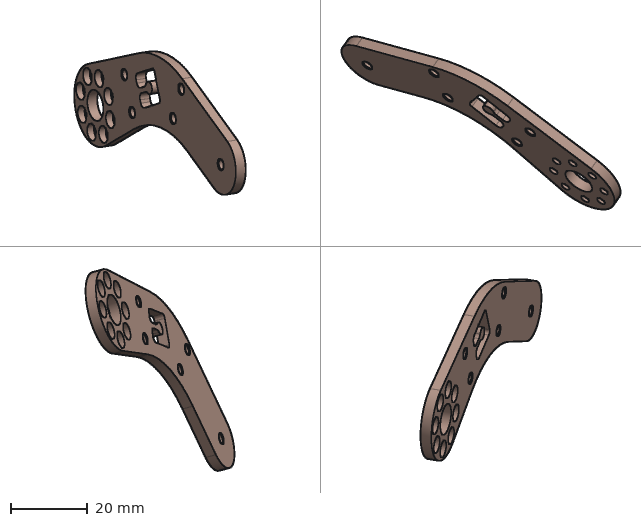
import cadquery as cq
import math

thickness = 3.0
hub_radius = 11.0
tip_radius = 8.0
tip_x = 65.0

upper_hub_slope = 19.7
upper_tip_slope = -25.5
lower_hub_slope = 29.0
lower_tip_slope = -25.5
upper_bend_radius = 30.0
lower_bend_radius = 30.0

bore_diameter = 8.2
bolt_count = 8
bolt_circle_radius = 8.0
bolt_start_angle = -14.0
bolt_diameter = 2.35
counterbore_diameter = 4.5
counterbore_depth = 2.0

mount_points = [(14.95, 12.0), (19.0, 2.8), (40.2, 6.4), (44.5, 15.4), (tip_x, 0)]
mount_diameter = 2.6
mount_chamfer = 0.25

window_x = 27.8
window_z = 11.6
window_angle = 22.5
window_left = 5.9
window_right = 4.6
window_height = 9.2
slot_end_radius = 1.5
window_corner_radius = 1.0
tongue_width = 1.4
tongue_head_radius = 1.7
tongue_neck_radius = 1.7


def edge_normal(slope, side):
    """Unit normal of an edge; side is +1 for upper edges and -1 for lower ones."""
    angle = math.radians(slope)
    return -side * math.sin(angle), side * math.cos(angle)


def along(origin, direction, distance):
    return origin[0] + direction[0] * distance, origin[1] + direction[1] * distance


def edge_points(hub_slope, tip_slope, bend_radius, side):
    """Points of one long edge from hub to tip; the second to fourth lie on the bend."""
    hub_normal = edge_normal(hub_slope, side)
    tip_normal = edge_normal(tip_slope, side)
    hub_tangent = along((0, 0), hub_normal, hub_radius)
    tip_tangent = along((tip_x, 0), tip_normal, tip_radius)

    offset = side * bend_radius
    hub_distance = hub_radius - offset
    tip_distance = tip_x * tip_normal[0] + tip_radius - offset
    determinant = hub_normal[0] * tip_normal[1] - hub_normal[1] * tip_normal[0]
    centre = (
        (hub_distance * tip_normal[1] - tip_distance * hub_normal[1]) / determinant,
        (tip_distance * hub_normal[0] - hub_distance * tip_normal[0]) / determinant,
    )
    middle_normal = edge_normal((hub_slope + tip_slope) / 2, side)
    bend = [along(centre, normal, offset) for normal in (hub_normal, middle_normal, tip_normal)]
    return [hub_tangent, *bend, tip_tangent]


def make_plate():
    upper = edge_points(upper_hub_slope, upper_tip_slope, upper_bend_radius, 1)
    lower = edge_points(lower_hub_slope, lower_tip_slope, lower_bend_radius, -1)
    return (
        cq.Workplane("XZ")
        .moveTo(*upper[0])
        .lineTo(*upper[1])
        .threePointArc(upper[2], upper[3])
        .lineTo(*upper[4])
        .threePointArc((tip_x + tip_radius, 0), lower[4])
        .lineTo(*lower[3])
        .threePointArc(lower[2], lower[1])
        .lineTo(*lower[0])
        .threePointArc((-hub_radius, 0), upper[0])
        .close()
        .extrude(-thickness)
    )


def cylinders(points, diameter, depth):
    """Cylinders sunk from the front face."""
    return cq.Workplane("XZ").pushPoints(points).circle(diameter / 2).extrude(-depth)


def mount_hole_cutter():
    """Through holes with both rims chamfered."""
    cutter = cylinders(mount_points, mount_diameter, thickness)
    for face_y, direction in ((0, -1), (thickness, 1)):
        cutter = cutter.union(
            cq.Workplane("XZ", origin=(0, face_y, 0))
            .pushPoints(mount_points)
            .circle(mount_diameter / 2 + mount_chamfer)
            .extrude(direction * mount_chamfer, taper=45)
        )
    return cutter


def window_cutter():
    length = window_left + window_right
    frame = (
        cq.Workplane("XY")
        .center((window_right - window_left) / 2, 0)
        .rect(length, window_height)
        .extrude(thickness)
    )
    neck = cq.Workplane("XY").center(-window_left / 2, 0).rect(window_left, tongue_width).extrude(thickness)
    head = cq.Workplane("XY").circle(tongue_head_radius).extrude(thickness)
    cutter = frame.cut(neck.union(head))

    reach = window_height
    neck_x = -math.sqrt(tongue_head_radius**2 - (tongue_width / 2) ** 2)
    for edge_x, radius in (
        (-window_left, slot_end_radius),
        (window_right, window_corner_radius),
        (neck_x, tongue_neck_radius),
    ):
        band = cq.selectors.BoxSelector((edge_x - 0.1, -reach, -0.8), (edge_x + 0.1, reach, thickness + 0.8))
        cutter = cutter.edges("|Z").edges(band).fillet(radius)

    return (
        cutter.rotate((0, 0, 0), (0, 0, 1), window_angle)
        .rotate((0, 0, 0), (1, 0, 0), 90)
        .translate((window_x, thickness, window_z))
    )


bolt_angles = [math.radians(bolt_start_angle + i * 360 / bolt_count) for i in range(bolt_count)]
bolt_points = [(bolt_circle_radius * math.cos(a), bolt_circle_radius * math.sin(a)) for a in bolt_angles]

result = (
    make_plate()
    .cut(cylinders([(0, 0)], bore_diameter, thickness))
    .cut(cylinders(bolt_points, bolt_diameter, thickness))
    .cut(cylinders(bolt_points, counterbore_diameter, counterbore_depth))
    .cut(mount_hole_cutter())
    .cut(window_cutter())
)